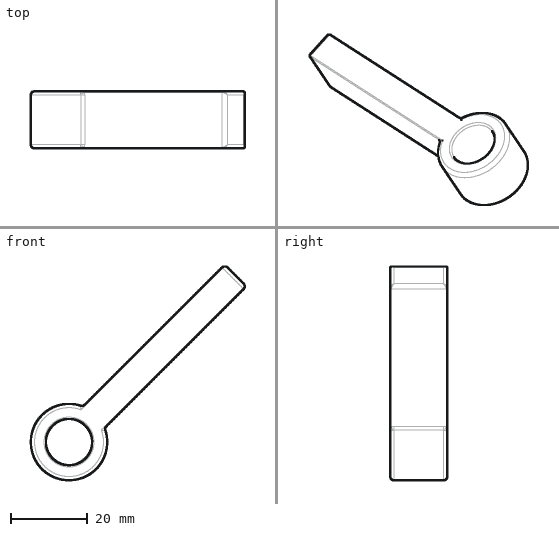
import cadquery as cq
import math

thickness = 14.95
ring_radius = 10.0
bore_diameter = 12.0
arm_width = 8.0
arm_length = 61.5
arm_angle = 45.0

rim_fillet = 1.0
bore_fillet = 0.5
tip_fillet = 1.0
arm_edge_fillet = 0.3
root_fillet = 1.0


def make_ring():
    """Round hub with rounded outer rims, centred on the Y axis."""
    ring = cq.Workplane("XZ").circle(ring_radius).extrude(thickness / 2, both=True)
    return ring.faces("<Y or >Y").edges().fillet(rim_fillet)


def make_arm():
    """Rectangular arm along +X, starting at the bore axis, with rounded tip and edges."""
    arm = cq.Workplane("XY").box(arm_length, thickness, arm_width, centered=(False, True, True))
    arm = arm.faces(">X").edges().fillet(tip_fillet)
    return arm.edges("|X").fillet(arm_edge_fillet)


def blend_arm_roots(body):
    """Round the two inner corners where the arm leaves the ring."""
    root_x = math.sqrt(ring_radius**2 - (arm_width / 2) ** 2)
    margin = 0.005
    for side in (-1, 1):
        root = cq.selectors.BoxSelector(
            (root_x - margin, -margin, side * arm_width / 2 - margin),
            (root_x + margin, margin, side * arm_width / 2 + margin),
        )
        body = body.edges(root).fillet(root_fillet)
    return body


def cut_bore(body):
    """Drill the through bore and round its two mouths."""
    bore = cq.Workplane("XZ", origin=(0, thickness / 2, 0)).circle(bore_diameter / 2).extrude(thickness)
    body = body.cut(bore)
    mouth_limit = bore_diameter / 2 + bore_fillet
    mouths = cq.selectors.BoxSelector(
        (-mouth_limit, -thickness, -mouth_limit),
        (mouth_limit, thickness, mouth_limit),
        boundingbox=True,
    )
    return body.faces("<Y or >Y").edges(mouths).fillet(bore_fillet)


lever = blend_arm_roots(make_ring().union(make_arm()))
lever = cut_bore(lever)
result = lever.rotate((0, 0, 0), (0, 1, 0), -arm_angle)